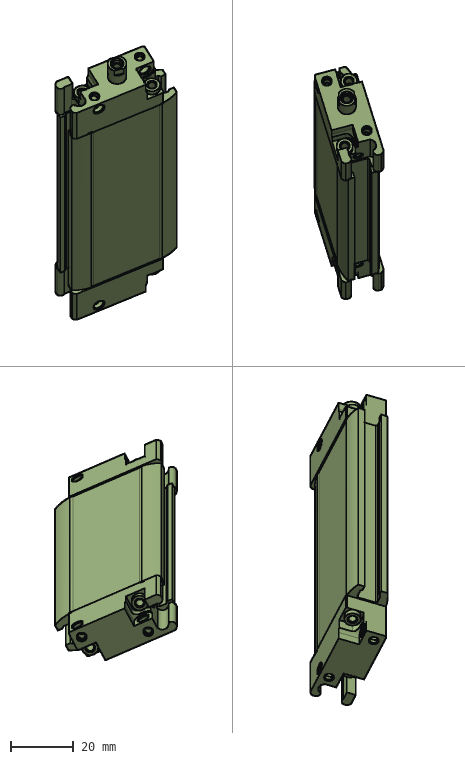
import cadquery as cq
import math


TOTAL_LENGTH = 119.0
CAP_HEIGHT = 14.0
ROD_PROJECTION = 7.0
CAP_TOP = TOTAL_LENGTH - ROD_PROJECTION
BARREL_LENGTH = CAP_TOP - 2 * CAP_HEIGHT

BARREL_DEPTH = 37.7
BARREL_HALF_Y = BARREL_DEPTH / 2
BARREL_HALF_X = 6.8
PANEL_HALF_X = 6.5
PANEL_HALF_Y = 11.8
ARM_START_Y = 12.7
ARM_BULGE = (6.2, 16.0)
ARM_TIP_HALF_X = 5.0
SLOT_MOUTH_HALF_X = 2.9
SLOT_HALF_X = 3.5
SLOT_FLOOR_Y = 13.7
SLOT_CORNER = 0.5
LIP_EDGE_Y = 17.3
LIP_INNER_Y = 16.5

CROSS_HOLE_Y = 10.0
CROSS_HOLE_DEPTH = 3.0
CROSS_HOLE_DIAMETER = 3.3
CROSS_HOLE_MOUTH = 4.0
RECESS_DIAMETER = 6.4
RECESS_REACH_Y = CROSS_HOLE_Y + RECESS_DIAMETER / 2

CAP_OVERHANG = 0.29
CAP_HALF_X = 7.0
CAP_BACK_Y = RECESS_REACH_Y
CAP_BACK_CHAMFER = 0.4
CAP_FRONT_Y = -BARREL_HALF_Y - CAP_OVERHANG
ARM_TIP_RISE = 1.1
ARM_TIP_OUTER_X = 6.0
ARM_TIP_INNER_X = 4.9
ARM_OUTER_BULGE = (6.5, -18.7)

CAP_SLOT_HALF_X = 3.9
CAP_SLOT_FLOOR_Y = -RECESS_REACH_Y
CAP_SLOT_FILLET = 1.2
MOUTH_NOSE = (3.7, -17.8)
MOUTH_INNER_Y = -16.9
UNDERCUT_DIAMETER = 4.0
UNDERCUT_X = 3.2

BOSS_X = 3.75
BOSS_Y = 10.6
POCKET_WIDTH = 6.7
POCKET_END_X = -0.5
POCKET_CORNER = 2.1
POCKET_DEPTH = 8.2
BOSS_DIAMETER = 5.2
BOSS_HEIGHT = 1.8
THREAD_DIAMETER = 2.5
THREAD_MOUTH = 3.2
THREAD_DEPTH = 4.8
PORT_BELOW_END = 11.0
PORT_DEPTH = 3.0

ROD_DIAMETER = 6.0
FLAT_ACROSS = 5.0
FLAT_HEIGHT = 2.5
FLAT_ANGLE = -12.0
ROD_BORE_DIAMETER = 3.3
ROD_BORE_MOUTH = 4.2
ROD_BORE_DEPTH = 1.8
ROD_THREAD_DEPTH = 7.1

DRILL_HALF_ANGLE = 59.0


def drilled_hole(diameter, mouth, depth):
    """Blind hole going down from the origin, with a 45 degree mouth and a conical bottom."""
    radius = diameter / 2
    mouth_radius = mouth / 2
    tip = depth + radius / math.tan(math.radians(DRILL_HALF_ANGLE))
    profile = cq.Workplane("XZ").lineTo(mouth_radius, 0)
    if mouth > diameter:
        profile = profile.lineTo(radius, radius - mouth_radius)
    return (
        profile
        .lineTo(radius, -depth)
        .lineTo(0, -tip)
        .close()
        .revolve(360, (0, 0), (0, 1))
    )


def half_turn(shape):
    """The same shape turned half a turn about the rod axis."""
    return shape.rotate((0, 0, 0), (0, 0, 1), 180)


def barrel_arm_corner():
    """One quarter of the solid barrel outline, on the +X +Y side."""
    return (
        cq.Workplane("XY")
        .lineTo(PANEL_HALF_X, 0)
        .lineTo(PANEL_HALF_X, PANEL_HALF_Y)
        .lineTo(BARREL_HALF_X, ARM_START_Y)
        .threePointArc(ARM_BULGE, (ARM_TIP_HALF_X, BARREL_HALF_Y))
        .lineTo(SLOT_MOUTH_HALF_X, BARREL_HALF_Y)
        .lineTo(SLOT_MOUTH_HALF_X, LIP_EDGE_Y)
        .lineTo(SLOT_HALF_X, LIP_INNER_Y)
        .lineTo(SLOT_HALF_X, SLOT_FLOOR_Y + SLOT_CORNER)
        .lineTo(SLOT_HALF_X - SLOT_CORNER, SLOT_FLOOR_Y)
        .lineTo(0, SLOT_FLOOR_Y)
        .close()
        .extrude(BARREL_LENGTH)
    )


def make_barrel():
    quarter = barrel_arm_corner()
    half = quarter.union(quarter.mirror("YZ"))
    return half.union(half.mirror("XZ")).clean().translate((0, 0, CAP_HEIGHT))


def cap_half():
    """The +X half of the cap outline, with a rounded arm tip and a rounded slot mouth."""
    return (
        cq.Workplane("XY")
        .moveTo(0, CAP_BACK_Y)
        .lineTo(CAP_HALF_X - CAP_BACK_CHAMFER, CAP_BACK_Y)
        .lineTo(CAP_HALF_X, CAP_BACK_Y - CAP_BACK_CHAMFER)
        .lineTo(CAP_HALF_X, CAP_FRONT_Y + ARM_TIP_RISE)
        .threePointArc(ARM_OUTER_BULGE, (ARM_TIP_OUTER_X, CAP_FRONT_Y))
        .lineTo(ARM_TIP_INNER_X, CAP_FRONT_Y)
        .threePointArc(MOUTH_NOSE, (CAP_SLOT_HALF_X, MOUTH_INNER_Y))
        .lineTo(CAP_SLOT_HALF_X, CAP_SLOT_FLOOR_Y)
        .lineTo(0, CAP_SLOT_FLOOR_Y)
        .close()
        .extrude(-CAP_HEIGHT)
    )


def slot_undercut():
    """Round groove along the +X wall of the slot, tangent to the slot floor."""
    radius = UNDERCUT_DIAMETER / 2
    return (
        cq.Workplane("XY")
        .center(UNDERCUT_X, CAP_SLOT_FLOOR_Y - radius)
        .circle(radius)
        .extrude(-CAP_HEIGHT)
    )


def cap_block():
    """Cap outline; the -X floor corner of the slot is rounded, the +X wall is undercut."""
    half = cap_half()
    left_half = half.mirror("YZ")
    left_corner = cq.selectors.NearestToPointSelector(
        (-CAP_SLOT_HALF_X, CAP_SLOT_FLOOR_Y, -CAP_HEIGHT / 2)
    )
    left_half = left_half.edges("|Z").edges(left_corner).fillet(CAP_SLOT_FILLET)
    return half.union(left_half).clean().cut(slot_undercut())


def boss_pocket():
    """Pocket round a boss, open to the -X side, with rounded corners at its inner end."""
    length = CAP_HALF_X + POCKET_END_X
    return (
        cq.Workplane("XY", origin=(POCKET_END_X - length / 2, -BOSS_Y, 0))
        .rect(length, POCKET_WIDTH)
        .extrude(-POCKET_DEPTH)
        .edges("|Z and >X")
        .fillet(POCKET_CORNER)
    )


def cross_hole_recess():
    """U-shaped recess round a cross hole, from the -X side to the middle, open at the end face."""
    radius = RECESS_DIAMETER / 2
    return (
        cq.Workplane("YZ", origin=(-CAP_HALF_X, -CROSS_HOLE_Y, 0))
        .moveTo(-radius, 0)
        .lineTo(-radius, -CROSS_HOLE_DEPTH)
        .threePointArc((0, -CROSS_HOLE_DEPTH - radius), (radius, -CROSS_HOLE_DEPTH))
        .lineTo(radius, 0)
        .close()
        .extrude(CAP_HALF_X)
    )


def cross_hole():
    """Through hole from the recess bottom to the +X side, widened at both mouths."""
    radius = CROSS_HOLE_DIAMETER / 2
    mouth_radius = CROSS_HOLE_MOUTH / 2
    mouth_depth = mouth_radius - radius
    return (
        cq.Workplane("XY")
        .lineTo(0, mouth_radius)
        .lineTo(mouth_depth, radius)
        .lineTo(CAP_HALF_X - mouth_depth, radius)
        .lineTo(CAP_HALF_X, mouth_radius)
        .lineTo(CAP_HALF_X, 0)
        .close()
        .revolve(360, (0, 0), (1, 0))
        .translate((0, -CROSS_HOLE_Y, -CROSS_HOLE_DEPTH))
    )


def pocket_boss():
    """Round boss standing on the pocket floor."""
    return (
        cq.Workplane("XY", origin=(-BOSS_X, -BOSS_Y, -POCKET_DEPTH))
        .circle(BOSS_DIAMETER / 2)
        .extrude(BOSS_HEIGHT)
    )


def threaded_hole(x, y, z):
    """Blind threaded hole going down from the given point."""
    return drilled_hole(THREAD_DIAMETER, THREAD_MOUTH, THREAD_DEPTH).translate((x, y, z))


def port():
    """Blind air port in the slot floor."""
    return (
        drilled_hole(THREAD_DIAMETER, THREAD_MOUTH, PORT_DEPTH)
        .rotate((0, 0, 0), (1, 0, 0), 90)
        .translate((0, CAP_SLOT_FLOOR_Y, -PORT_BELOW_END))
    )


def make_cap():
    cap = cap_block().cut(port())
    for cutter in (boss_pocket(), cross_hole_recess(), cross_hole()):
        cap = cap.cut(cutter).cut(half_turn(cutter))
    cap = cap.union(pocket_boss()).union(half_turn(pocket_boss()))
    boss_hole = threaded_hole(-BOSS_X, -BOSS_Y, BOSS_HEIGHT - POCKET_DEPTH)
    mounting_hole = threaded_hole(BOSS_X, -CROSS_HOLE_Y, 0)
    for hole in (boss_hole, mounting_hole):
        cap = cap.cut(hole).cut(half_turn(hole))
    return cap


def make_upper_cap():
    rod_bore = cq.Workplane("XY").circle(ROD_DIAMETER / 2).extrude(-CAP_HEIGHT)
    return make_cap().cut(rod_bore).translate((0, 0, CAP_TOP))


def make_lower_cap():
    return make_cap().mirror("XY")


def rod_end_hole():
    """Short bore with a chamfered mouth, narrowing to a deeper threaded hole."""
    bore_radius = ROD_BORE_DIAMETER / 2
    mouth_radius = ROD_BORE_MOUTH / 2
    bore = (
        cq.Workplane("XZ")
        .lineTo(mouth_radius, 0)
        .lineTo(bore_radius, bore_radius - mouth_radius)
        .lineTo(bore_radius, -ROD_BORE_DEPTH)
        .lineTo(0, -ROD_BORE_DEPTH)
        .close()
        .revolve(360, (0, 0), (0, 1))
    )
    return bore.union(drilled_hole(THREAD_DIAMETER, THREAD_DIAMETER, ROD_THREAD_DEPTH))


def make_rod():
    """Rod standing on the barrel, with two wrench flats and a threaded hole at its free end."""
    rod_length = ROD_PROJECTION + CAP_HEIGHT
    shank = cq.Workplane("XY").circle(ROD_DIAMETER / 2).extrude(-rod_length)
    across_flats = (
        cq.Workplane("XY")
        .rect(FLAT_ACROSS, ROD_DIAMETER)
        .extrude(-FLAT_HEIGHT)
        .rotate((0, 0, 0), (0, 0, 1), FLAT_ANGLE)
    )
    flat_waste = cq.Workplane("XY").circle(ROD_DIAMETER).extrude(-FLAT_HEIGHT).cut(across_flats)
    return shank.cut(flat_waste).cut(rod_end_hole()).translate((0, 0, TOTAL_LENGTH))


barrel = make_barrel()
upper_cap = make_upper_cap()
lower_cap = make_lower_cap()
rod = make_rod()

result = cq.Compound.makeCompound([barrel.val(), upper_cap.val(), lower_cap.val(), rod.val()])